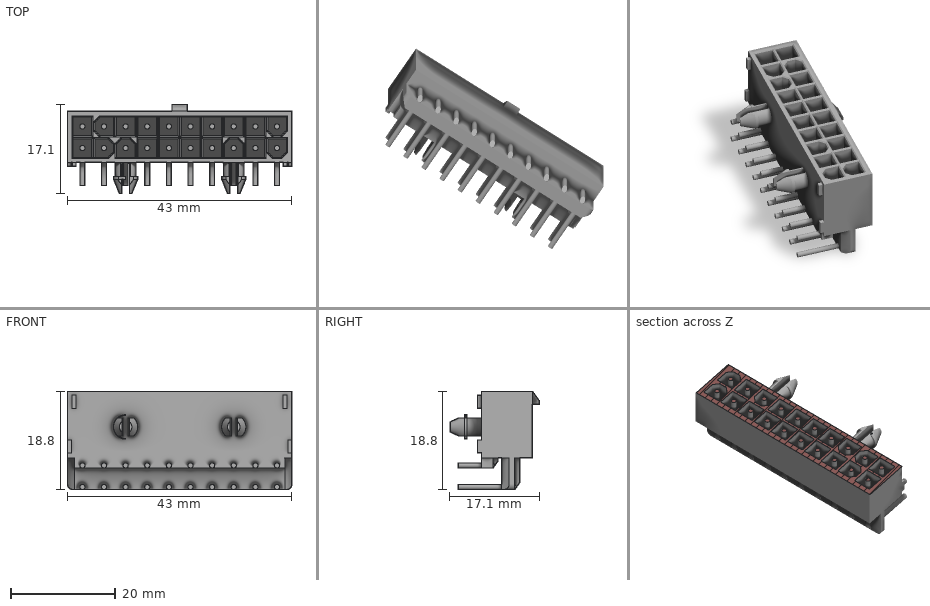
import cadquery as cq
import math


length = 42.98
total_depth = 17.09
depth = 9.80
height = 12.75
pitch = 4.14
columns = 10
front_row_y = 2.74
back_row_y = front_row_y + pitch

cavity_size = 3.54
lip_chamfer = 0.22
mouth_size = cavity_size + 2 * lip_chamfer
corner_cut = 1.0
mouth_corner_cut = corner_cut + lip_chamfer * (2 - math.sqrt(2))
cavity_depth = 10.0

front_row_keys = {1: ("RF", "RB"), 2: ("LB", "RB"), 7: ("LB", "RB"), 9: ("LF", "RF")}
back_row_keys = {1: ("LF", "LB"), 9: ("LF", "RF")}

total_height = 18.84
tail_drop = total_height - height
step_drop = tail_drop - pitch
step_depth = 2.25
end_inset = 1.33
plate_front_y = 3.88
plate_back_y = 6.40
plate_end_y = 5.34
plate_corner_radius = 1.05

pin_radius = 0.50
pin_reach = 4.45
pin_top_z = 9.0
elbow_cut_height = 1.40

latch_width = 2.95
latch_reach = 1.31
latch_height = 2.5
latch_lip = 0.7

pad_width = 0.75
pad_height = 2.5
pad_reach = 0.75
upper_pad_inset = 0.92
upper_pad_top = height - 0.75
lower_pad_top = height - 9.30

peg_columns = (2, 7)
peg_z = height - 6.82
peg_length = total_depth - depth - latch_reach
neck_radius = 1.99
root_radius = 2.05
root_height = 0.25
flange_radius = 2.32
flange_start = 2.70
flange_end = 3.24
tip_radius = 1.20
peg_half_height = 1.75
slot_half_width = 0.73
slot_root_half_width = 0.47
hoop_radius = 2.34
hoop_wall = 0.12


def column_x(column):
    return (column - (columns - 1) / 2) * pitch


def box(x0, x1, y0, y1, z0, z1):
    """Axis-aligned block between two opposite corners."""
    return cq.Workplane("XY").box(x1 - x0, y1 - y0, z1 - z0, centered=False).translate((x0, y0, z0))


def cavity_outline(size, cut, cut_corners):
    """Points of a square, counter-clockwise, with the named corners cut off at 45 degrees."""
    half = size / 2
    points = []
    for name, sx, sy in (("LF", -1, -1), ("RF", 1, -1), ("RB", 1, 1), ("LB", -1, 1)):
        if name not in cut_corners:
            points.append((sx * half, sy * half))
            continue
        along_x = (sx * (half - cut), sy * half)
        along_y = (sx * half, sy * (half - cut))
        points += [along_y, along_x] if sx == sy else [along_x, along_y]
    return points


def make_cavity(x, y, cut_corners):
    """Square pocket with optional cut corners and a mouth flared by a chamfer."""
    pocket_outline = cavity_outline(cavity_size, corner_cut, cut_corners)
    mouth_outline = cavity_outline(mouth_size, mouth_corner_cut, cut_corners)
    pocket = (
        cq.Workplane("XY", origin=(x, y, height - cavity_depth))
        .polyline(pocket_outline)
        .close()
        .extrude(cavity_depth - lip_chamfer)
    )
    mouth = (
        cq.Workplane("XY", origin=(x, y, height - lip_chamfer))
        .polyline(pocket_outline)
        .close()
        .workplane(offset=lip_chamfer)
        .polyline(mouth_outline)
        .close()
        .loft(ruled=True)
    )
    return pocket.union(mouth)


def make_housing():
    cavities = []
    for row_y, keys in ((front_row_y, front_row_keys), (back_row_y, back_row_keys)):
        for column in range(columns):
            cavities.append(make_cavity(column_x(column), row_y, keys.get(column, ())).val())
    housing = box(-length / 2, length / 2, 0, depth, 0, height)
    return housing.cut(cq.Workplane(cq.Compound.makeCompound(cavities)))


def make_tail():
    """Step under the board-side face and the tall plate that carries the long pins."""
    half = length / 2
    step = box(-half + end_inset, half - end_inset, 0, step_depth, -step_drop, 0)
    plate = (
        cq.Workplane("XY", origin=(0, 0, -tail_drop))
        .polyline([
            (-half, plate_back_y),
            (-half, plate_end_y),
            (-half + end_inset, plate_front_y),
            (half - end_inset, plate_front_y),
            (half, plate_end_y),
            (half, plate_back_y),
        ])
        .close()
        .extrude(tail_drop)
    )
    rounded_blank = (
        box(-half, half, plate_front_y, plate_back_y, -tail_drop, tail_drop)
        .edges("|Y and <Z")
        .fillet(plate_corner_radius)
    )
    return step.union(plate.intersect(rounded_blank))


def make_pin(x, row_y, drop, support_back_y):
    """Vertical contact bent toward -Y, with the outside of the bend cut off at an angle."""
    pin_bottom = -drop
    upright = (
        cq.Workplane("XY", origin=(x, row_y, pin_bottom))
        .circle(pin_radius)
        .extrude(pin_top_z - pin_bottom)
    )
    tail = (
        cq.Workplane("XZ", origin=(x, row_y, pin_bottom + pin_radius))
        .circle(pin_radius)
        .extrude(row_y + pin_reach)
    )
    back_y = row_y + pin_radius
    bend_waste = (
        cq.Workplane("YZ", origin=(x - pin_radius, 0, 0))
        .polyline([
            (support_back_y, pin_bottom),
            (back_y, pin_bottom),
            (back_y, pin_bottom + elbow_cut_height),
        ])
        .close()
        .extrude(2 * pin_radius)
    )
    return upright.union(tail).cut(bend_waste)


def make_latch():
    """Ramp in the middle of the back face, flush with the top."""
    outer_y = depth + latch_reach
    latch_bottom = height - latch_height
    return (
        cq.Workplane("YZ", origin=(-latch_width / 2, 0, 0))
        .polyline([
            (depth, height),
            (outer_y, latch_bottom + latch_lip),
            (outer_y, latch_bottom),
            (depth, latch_bottom),
        ])
        .close()
        .extrude(latch_width)
    )


def make_pads(inset, top):
    """Mirrored pair of standoff pads, inset from the two ends of the housing."""
    outer_x = length / 2 - inset
    pad = box(outer_x - pad_width, outer_x, -pad_reach, 0, top - pad_height, top)
    return pad.union(pad.mirror("YZ"))


def make_peg():
    """Barbed peg along -Y from the origin: flat top and bottom, split by a slot."""
    body = (
        cq.Workplane("XY")
        .polyline([
            (0, 0),
            (root_radius, 0),
            (neck_radius, -root_height),
            (neck_radius, -flange_start),
            (flange_radius, -flange_start),
            (flange_radius, -flange_end),
            (tip_radius, -peg_length),
            (0, -peg_length),
        ])
        .close()
        .revolve(360, (0, 0, 0), (0, 1, 0))
    )
    flats = box(
        -flange_radius, flange_radius, -peg_length, 0, -peg_half_height, peg_half_height
    )
    slot = (
        cq.Workplane("XY", origin=(0, 0, -flange_radius))
        .polyline([
            (-slot_root_half_width, 0),
            (-slot_half_width, -root_height),
            (-slot_half_width, -peg_length),
            (slot_half_width, -peg_length),
            (slot_half_width, -root_height),
            (slot_root_half_width, 0),
        ])
        .close()
        .extrude(2 * flange_radius)
    )
    return body.intersect(flats).cut(slot)


def make_hoop():
    """Thin half ring around the -X half of a peg's flange."""
    ring = (
        cq.Workplane("XZ", origin=(0, -flange_start, 0))
        .circle(hoop_radius)
        .circle(hoop_radius - hoop_wall)
        .extrude(flange_end - flange_start)
    )
    kept_half = box(-hoop_radius, 0, -flange_end, -flange_start, -hoop_radius, hoop_radius)
    return ring.intersect(kept_half)


parts = [
    make_tail(),
    make_latch(),
    make_pads(upper_pad_inset, upper_pad_top),
    make_pads(0, lower_pad_top),
]

for pin_column in range(columns):
    pin_x = column_x(pin_column)
    parts.append(make_pin(pin_x, front_row_y, step_drop, step_depth))
    parts.append(make_pin(pin_x, back_row_y, tail_drop, plate_back_y))

for peg_column in peg_columns:
    parts.append(make_peg().translate((column_x(peg_column), 0, peg_z)))

parts.append(make_hoop().translate((column_x(peg_columns[0]), 0, peg_z)))

solids = [solid for part in parts for solid in part.solids().vals()]
housing_with_parts = make_housing().val().fuse(*solids).clean()
result = cq.Workplane(housing_with_parts.Solids()[0])